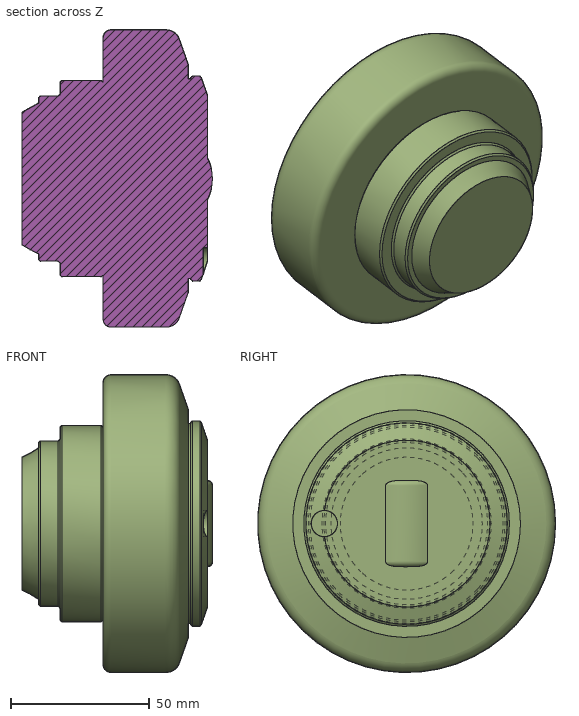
import cadquery as cq
import math

stud_tip_radius = 24.0
stud_cone_radius = 27.4
stud_cone_end = 6.0
stud_radius = 29.9
collar_start = 13.8
collar_radius = 35.5
edge_break = 0.6

roller_start = 29.3
roller_radius = 53.8
roller_back_fillet = 3.0
roller_front_arc_start = 52.0
roller_bevel_start = 56.9
roller_bevel_radius = 50.6
roller_end = 60.2
roller_end_radius = 41.1

cap_gap = 0.8
cap_gap_radius = 36.2
cap_radius = 37.2
cap_bevel_start = 64.9
cap_bevel_radius = 36.4
cap_face = 67.1
cap_face_radius = 30.2

total_length = 68.9
side_roller_radius = 16.7
side_roller_half_length = 15.6
side_roller_fillet = 1.9

scoop_radius = 4.7
scoop_centre_radius = 29.7
scoop_floor = 65.6


def revolve_about_x(profile):
    return profile.close().revolve(360, (0, 0, 0), (1, 0, 0))


def disc(start, end, radius):
    return cq.Workplane("YZ").workplane(offset=start).circle(radius).extrude(end - start)


def make_stud():
    cone_and_neck = revolve_about_x(
        cq.Workplane("XY")
        .lineTo(0, stud_tip_radius)
        .lineTo(stud_cone_end, stud_cone_radius)
        .lineTo(stud_cone_end, stud_radius - edge_break)
        .lineTo(stud_cone_end + edge_break, stud_radius)
        .lineTo(collar_start - edge_break, stud_radius)
        .lineTo(collar_start, stud_radius + edge_break)
        .lineTo(collar_start, 0)
    )
    collar = disc(collar_start, roller_start, collar_radius).edges().chamfer(edge_break)
    return cone_and_neck.union(collar)


def make_roller():
    rim_start = roller_start + roller_back_fillet
    diagonal = roller_back_fillet * (1 - math.sqrt(0.5))
    return revolve_about_x(
        cq.Workplane("XY")
        .moveTo(roller_start, 0)
        .lineTo(roller_start, roller_radius - roller_back_fillet)
        .threePointArc((roller_start + diagonal, roller_radius - diagonal), (rim_start, roller_radius))
        .lineTo(roller_front_arc_start, roller_radius)
        .tangentArcPoint((roller_bevel_start, roller_bevel_radius), relative=False)
        .lineTo(roller_end, roller_end_radius)
        .lineTo(roller_end, 0)
    )


def make_cap():
    rim_start = roller_end + cap_gap
    return revolve_about_x(
        cq.Workplane("XY")
        .moveTo(roller_end, 0)
        .lineTo(roller_end, cap_gap_radius)
        .lineTo(rim_start, cap_gap_radius)
        .lineTo(rim_start, cap_radius - edge_break)
        .lineTo(rim_start + edge_break, cap_radius)
        .lineTo(cap_bevel_start - edge_break, cap_radius)
        .lineTo(cap_bevel_start, cap_bevel_radius)
        .lineTo(cap_face, cap_face_radius)
        .lineTo(cap_face, 0)
    )


def make_side_roller():
    return (
        cq.Workplane("XY")
        .center(total_length - side_roller_radius, 0)
        .circle(side_roller_radius)
        .extrude(side_roller_half_length, both=True)
        .edges()
        .fillet(side_roller_fillet)
    )


def make_scoop():
    return disc(scoop_floor, total_length, scoop_radius).translate((0, -scoop_centre_radius, 0))


result = make_stud().union(make_roller()).union(make_cap()).cut(make_scoop()).union(make_side_roller())